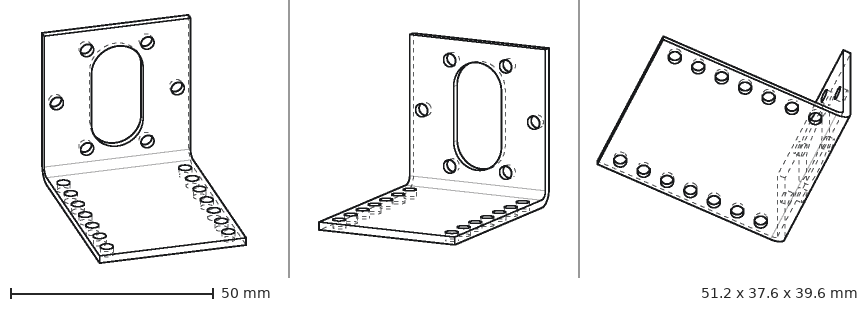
import cadquery as cq
import math

length = 51.2
width = 37.6
height = 39.6
thickness = 2.0

inner_bend_radius = 2.0
outer_bend_radius = inner_bend_radius + thickness

base_hole_diameter = 3.2
base_hole_count = 7
base_hole_pitch = 6.4
base_row_spacing = 31.2
first_base_hole_x = 8.1

upright_centre_z = 20.8
upright_hole_diameter = 3.3
upright_hole_count = 6
hole_circle_radius = 15.5
slot_width = 13.2
slot_height = 27.2


def bent_sheet():
    """L-shaped sheet with its outer corner at X = Z = 0, centred on Y."""
    profile = (
        cq.Workplane("XZ")
        .moveTo(outer_bend_radius, 0)
        .lineTo(length, 0)
        .lineTo(length, thickness)
        .lineTo(outer_bend_radius, thickness)
        .radiusArc((thickness, outer_bend_radius), inner_bend_radius)
        .lineTo(thickness, height)
        .lineTo(0, height)
        .lineTo(0, outer_bend_radius)
        .radiusArc((outer_bend_radius, 0), -outer_bend_radius)
        .close()
    )
    return profile.extrude(width / 2, both=True)


def base_holes():
    """Cutters for the two rows of holes along the long edges of the base."""
    points = []
    for column in range(base_hole_count):
        x = first_base_hole_x + column * base_hole_pitch
        for side in (-1, 1):
            points.append((x, side * base_row_spacing / 2))
    return cq.Workplane("XY").pushPoints(points).circle(base_hole_diameter / 2).extrude(thickness)


def upright_plane():
    """Workplane on the outer upright face: local x is Y, local y is Z."""
    return cq.Workplane("YZ").center(0, upright_centre_z)


def upright_holes():
    """Cutters for the ring of holes around the slot."""
    points = []
    for index in range(upright_hole_count):
        angle = 2 * math.pi * index / upright_hole_count
        points.append((hole_circle_radius * math.cos(angle), hole_circle_radius * math.sin(angle)))
    return upright_plane().pushPoints(points).circle(upright_hole_diameter / 2).extrude(thickness)


def upright_slot():
    """Cutter for the vertical round-ended slot."""
    return upright_plane().slot2D(slot_height, slot_width, 90).extrude(thickness)


result = bent_sheet().cut(base_holes()).cut(upright_holes()).cut(upright_slot())